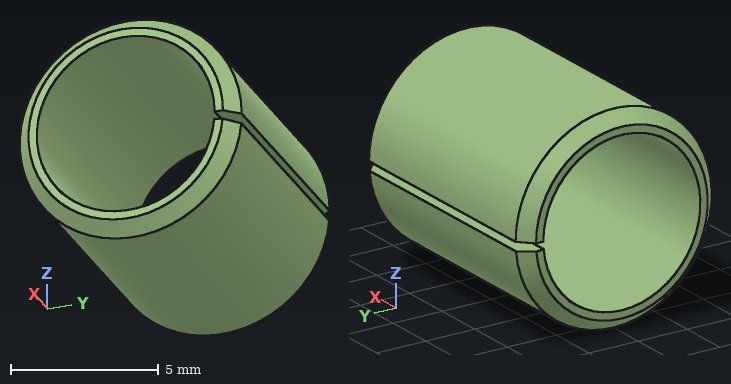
import cadquery as cq

length = 10.0
outer_radius = 4.0
wall = 0.8
chamfer = 0.5
slit_angle = 5.0

half_length = length / 2
inner_radius = outer_radius - wall
end_face_radius = outer_radius - chamfer
chamfer_start = half_length - chamfer

wall_section = (
    cq.Workplane("XY")
    .moveTo(-half_length, inner_radius)
    .lineTo(half_length, inner_radius)
    .lineTo(half_length, end_face_radius)
    .lineTo(chamfer_start, outer_radius)
    .lineTo(-chamfer_start, outer_radius)
    .lineTo(-half_length, end_face_radius)
    .close()
)

result = wall_section.revolve(360.0 - slit_angle, (0, 0, 0), (1, 0, 0))